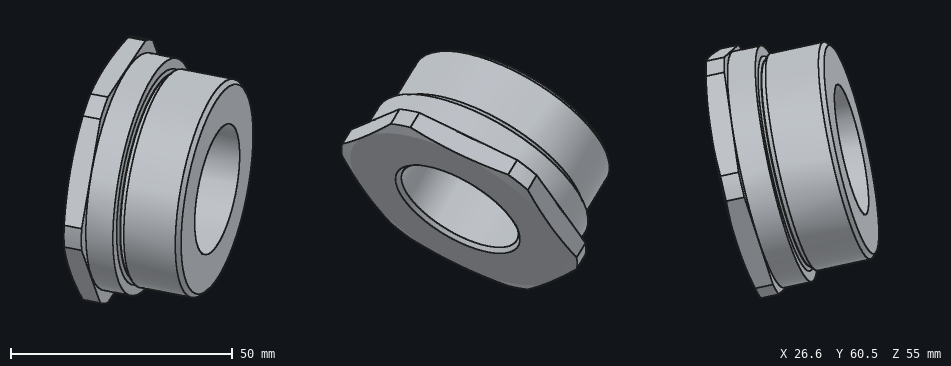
import cadquery as cq
import math

total_length = 26.6
hex_thickness = 4.95
collar_end = 11.4
groove_end = 12.05
groove_taper_length = 0.5

across_flats = 55.0
corner_diameter = 60.5
face_chamfer_angle = 15.0

collar_diameter = 54.55
groove_diameter = 47.8
groove_mouth_diameter = 49.6
spigot_diameter = 50.2
bore_diameter = 30.0

spigot_tip_chamfer = 1.0
spigot_root_chamfer = 1.2
bore_chamfer = 0.95


def disc(diameter, start, end):
    """Cylinder about the X axis between two positions."""
    return cq.Workplane("YZ").workplane(offset=start).circle(diameter / 2).extrude(end - start)


def hex_head():
    """Hexagon with rounded-off corners and a conical chamfer on its face."""
    hexagon = (
        cq.Workplane("YZ")
        .polygon(6, across_flats / math.cos(math.pi / 6))
        .extrude(hex_thickness)
    )
    flat_radius = across_flats / 2
    corner_radius = corner_diameter / 2
    chamfer_depth = (corner_radius - flat_radius) * math.tan(math.radians(face_chamfer_angle))
    envelope = (
        cq.Workplane("XY")
        .moveTo(0, 0)
        .lineTo(0, flat_radius)
        .lineTo(chamfer_depth, corner_radius)
        .lineTo(hex_thickness, corner_radius)
        .lineTo(hex_thickness, 0)
        .close()
        .revolve(360, (0, 0, 0), (1, 0, 0))
    )
    return hexagon.intersect(envelope)


def spigot():
    """Plain cylinder, chamfered at both ends."""
    body = disc(spigot_diameter, groove_end, total_length)
    return body.faces(">X").chamfer(spigot_tip_chamfer).faces("<X").chamfer(spigot_root_chamfer)


def groove_floor():
    """Neck that tapers down from the collar to a narrow straight floor."""
    taper_end = collar_end + groove_taper_length
    return (
        cq.Workplane("XY")
        .moveTo(collar_end, 0)
        .lineTo(collar_end, groove_mouth_diameter / 2)
        .lineTo(taper_end, groove_diameter / 2)
        .lineTo(groove_end, groove_diameter / 2)
        .lineTo(groove_end, 0)
        .close()
        .revolve(360, (0, 0, 0), (1, 0, 0))
    )


collar = disc(collar_diameter, hex_thickness, collar_end)
body = hex_head().union(collar).union(groove_floor()).union(spigot())

result = body.cut(disc(bore_diameter, 0, total_length))
result = result.faces("<X").edges(cq.selectors.RadiusNthSelector(0)).chamfer(bore_chamfer)